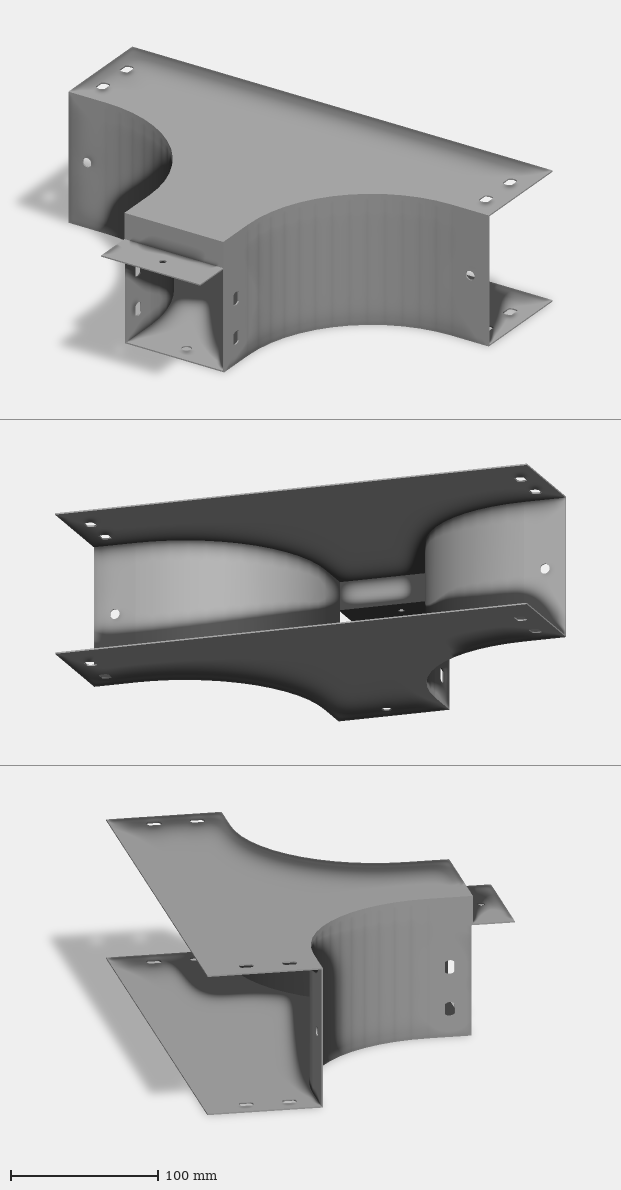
import cadquery as cq
import math

sheet = 1.0
duct_width = 80.0
duct_height = 100.0
bend_radius = 100.0
straight = 30.0

tongue_length = 30.0
tongue_drop = 20.0
tongue_hole_diameter = 5.0

hole_diameter = 7.0
slot_width = 7.0
slot_length = 10.0
end_inset = 15.0
plate_slot_distances = (30.0, 60.0)
wall_slot_heights = (20.0, 50.0)

half_width = duct_width / 2
half_length = half_width + bend_radius + straight
run_front = -duct_width
branch_end = run_front - bend_radius - straight
mid_height = duct_height / 2


def corner_path(offset, side):
    """Straight-bend-straight wall line, moved inwards from the outer face by offset."""
    radius = bend_radius + offset
    centre_x = half_width + bend_radius
    centre_y = run_front - bend_radius
    diagonal = radius / math.sqrt(2)
    run_tangent = (side * centre_x, centre_y + radius)
    middle = (side * (centre_x - diagonal), centre_y + diagonal)
    branch_tangent = (side * (centre_x - radius), centre_y)
    run_end = (side * half_length, run_tangent[1])
    branch_tip = (branch_tangent[0], branch_end)
    return run_end, run_tangent, middle, branch_tangent, branch_tip


def make_plate(bottom):
    """T-shaped plate with its lower face at height bottom."""
    left_end, left_tangent, left_middle, left_branch, left_tip = corner_path(0, -1)
    right_end, right_tangent, right_middle, right_branch, right_tip = corner_path(0, 1)
    return (
        cq.Workplane("XY", origin=(0, 0, bottom))
        .moveTo(-half_length, 0)
        .lineTo(*left_end)
        .lineTo(*left_tangent)
        .threePointArc(left_middle, left_branch)
        .lineTo(*left_tip)
        .lineTo(*right_tip)
        .lineTo(*right_branch)
        .threePointArc(right_middle, right_tangent)
        .lineTo(*right_end)
        .lineTo(half_length, 0)
        .close()
        .extrude(sheet)
    )


def make_wall(side):
    """Curved side wall joining the run to the branch."""
    outer_end, outer_tangent, outer_middle, outer_branch, outer_tip = corner_path(0, side)
    inner_end, inner_tangent, inner_middle, inner_branch, inner_tip = corner_path(sheet, side)
    return (
        cq.Workplane("XY")
        .moveTo(*outer_end)
        .lineTo(*outer_tangent)
        .threePointArc(outer_middle, outer_branch)
        .lineTo(*outer_tip)
        .lineTo(*inner_tip)
        .lineTo(*inner_branch)
        .threePointArc(inner_middle, inner_tangent)
        .lineTo(*inner_end)
        .close()
        .extrude(duct_height)
    )


def make_tongue():
    """Stepped tongue: a lip in front of the top plate's end, folded out into a flat tab."""
    lip_height = tongue_drop + sheet
    lip = cq.Workplane("XY").box(duct_width, sheet, lip_height, centered=(True, False, False))
    tab = cq.Workplane("XY").box(duct_width, tongue_length, sheet, centered=(True, False, False))
    hole = (
        cq.Workplane("XY")
        .center(0, end_inset)
        .circle(tongue_hole_diameter / 2)
        .extrude(sheet)
    )
    tab_bottom = duct_height - lip_height
    lip = lip.translate((0, branch_end - sheet, tab_bottom))
    tab = tab.cut(hole).translate((0, branch_end - tongue_length, tab_bottom))
    return lip.union(tab)


def slot_cutter(plane, points, depth):
    """Slots with flat sides and shallow arced ends, long along the plane's second axis, cut to both sides."""
    strips = cq.Workplane(plane).pushPoints(points).rect(slot_width, slot_length)
    rounds = cq.Workplane(plane).pushPoints(points).circle(slot_length / 2)
    return strips.extrude(depth, both=True).intersect(rounds.extrude(depth, both=True))


def cut_plate_slots(body):
    """Slots through both plates at each end of the run."""
    points = [
        (side * (half_length - end_inset), -distance)
        for side in (-1, 1)
        for distance in plate_slot_distances
    ]
    return body.cut(slot_cutter("XY", points, duct_height))


def cut_wall_slots(body):
    """Upright slots through both side walls of the branch."""
    points = [(branch_end + end_inset, height) for height in wall_slot_heights]
    return body.cut(slot_cutter("YZ", points, half_width))


def cut_round_holes(body):
    """One hole in each front wall of the run and one in the branch floor."""
    run_hole_x = half_length - end_inset
    wall_holes = (
        cq.Workplane("XZ", origin=(0, run_front, 0))
        .pushPoints([(-run_hole_x, mid_height), (run_hole_x, mid_height)])
        .circle(hole_diameter / 2)
        .extrude(-sheet)
    )
    floor_hole = (
        cq.Workplane("XY")
        .center(0, branch_end + end_inset)
        .circle(hole_diameter / 2)
        .extrude(sheet)
    )
    return body.cut(wall_holes).cut(floor_hole)


body = make_plate(0).union(make_plate(duct_height - sheet))
for wall_side in (-1, 1):
    body = body.union(make_wall(wall_side))
body = body.union(make_tongue())
body = cut_plate_slots(body)
body = cut_wall_slots(body)
result = cut_round_holes(body)